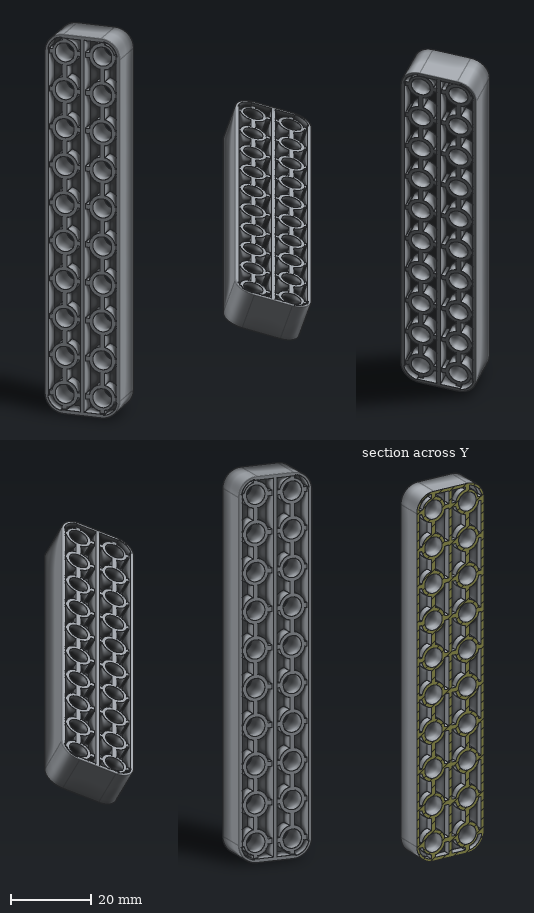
import cadquery as cq

length = 100.0
width = 20.0
thickness = 10.0
corner_radius = 5.0
edge_rounding = 0.1

pitch = 10.0
columns = 2
rows = 10
hole_diameter = 5.0
boss_diameter = 7.0

wall = 1.0
divider = 1.0
rib = 1.3
web = 1.0
pocket_depth = (thickness - web) / 2
lattice_recess = 0.8

corner_wall = 0.75
corner_gap_outer_radius = corner_radius - corner_wall
corner_gap_inner_radius = hole_diameter / 2 + corner_wall

column_places = [(column - (columns - 1) / 2) * pitch for column in range(columns)]
row_places = [(row - (rows - 1) / 2) * pitch for row in range(rows)]
hole_centers = [(x, z) for x in column_places for z in row_places]


def plane_behind_front(distance=0.0):
    """Sketch plane parallel to the front face (-Y), with X right and Z up."""
    return cq.Workplane("XZ", origin=(0, distance - thickness / 2, 0))


def rounded_block(inset, depth):
    """Rounded block reaching back from the front face, inset from the outline."""
    block = plane_behind_front().rect(width - 2 * inset, length - 2 * inset).extrude(-depth)
    return block.edges("|Y").fillet(corner_radius - inset)


def recessed_lattice():
    """Bosses around the holes and the ribs that cross at every hole."""
    top = plane_behind_front(lattice_recess)
    height = pocket_depth - lattice_recess
    lattice = top.pushPoints(hole_centers).circle(boss_diameter / 2).extrude(-height)
    for x in column_places:
        lattice = lattice.union(top.moveTo(x, 0).rect(rib, length).extrude(-height))
    for z in row_places:
        lattice = lattice.union(top.moveTo(0, z).rect(width, rib).extrude(-height))
    return lattice


def corner_gaps():
    """Quarter-ring gaps around the corner holes, each ending at the two ribs beside it."""
    corner_holes = [(x, z) for x in column_places for z in (row_places[0], row_places[-1])]
    rings = (
        plane_behind_front()
        .pushPoints(corner_holes)
        .circle(corner_gap_outer_radius)
        .circle(corner_gap_inner_radius)
        .extrude(-pocket_depth)
    )
    inner_width = column_places[-1] - column_places[0] + rib
    inner_length = row_places[-1] - row_places[0] + rib
    between_columns = plane_behind_front().rect(inner_width, length).extrude(-pocket_depth)
    between_rows = plane_behind_front().rect(width, inner_length).extrude(-pocket_depth)
    return rings.cut(between_columns).cut(between_rows)


def front_pocket():
    """Empty space of the front pocket; the middle divider stays flush with the rim."""
    middle_divider = plane_behind_front().rect(divider, length).extrude(-pocket_depth)
    space = rounded_block(wall, pocket_depth).cut(middle_divider).cut(recessed_lattice())
    return space.union(corner_gaps())


body = rounded_block(0, thickness).faces("<Y or >Y").fillet(edge_rounding)

pocket = front_pocket()
back_pocket = pocket.mirror("XZ")

holes = plane_behind_front().pushPoints(hole_centers).circle(hole_diameter / 2).extrude(-thickness)

result = body.cut(pocket).cut(back_pocket).cut(holes)